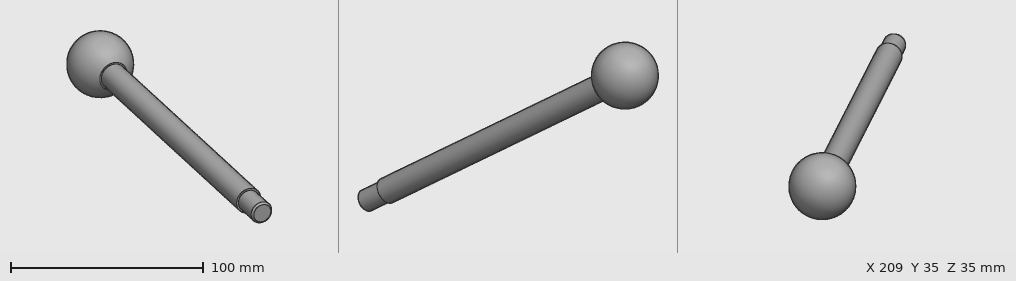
import cadquery as cq
import math

total_length = 209.0
ball_diameter = 35.0
ball_flat_position = 33.0
rod_diameter = 14.0
tip_diameter = 12.0
tip_length = 16.0
tip_chamfer = 1.0

ball_radius = ball_diameter / 2
rod_radius = rod_diameter / 2
tip_radius = tip_diameter / 2
start_x = -total_length / 2
end_x = total_length / 2
ball_center_x = start_x + ball_radius
flat_x = start_x + ball_flat_position
shoulder_x = end_x - tip_length
flat_radius = math.sqrt(ball_radius**2 - (flat_x - ball_center_x) ** 2)

profile = (
    cq.Workplane("XY")
    .moveTo(start_x, 0)
    .threePointArc((ball_center_x, ball_radius), (flat_x, flat_radius))
    .lineTo(flat_x, rod_radius)
    .lineTo(shoulder_x, rod_radius)
    .lineTo(shoulder_x, tip_radius)
    .lineTo(end_x - tip_chamfer, tip_radius)
    .lineTo(end_x, tip_radius - tip_chamfer)
    .lineTo(end_x, 0)
    .close()
)

result = profile.revolve(360, (0, 0, 0), (1, 0, 0))